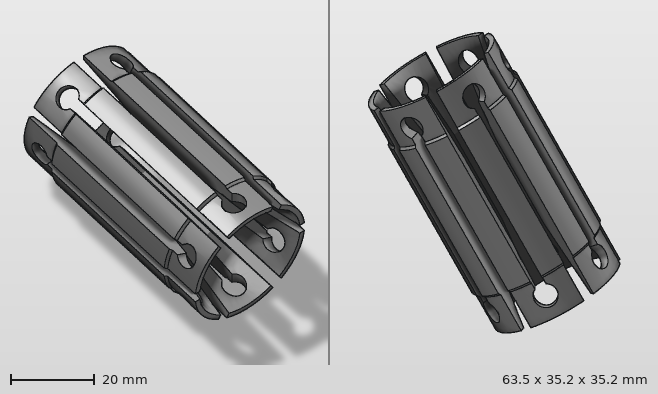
import cadquery as cq

length = 63.5
body_radius = 17.65
end_radius = 17.1
end_band = 10.3
step_length = 0.65
bore_radius = 11.5
mouth_radius = 15.7
taper_length = 19.7

slot_count = 12
slot_width = 3.0
relief_radius = 3.0
relief_inset = 5.9

clearance = 0.65

half_length = length / 2
slot_pitch = 360 / slot_count


def make_sleeve():
    """Revolve the wall section: along the outside first, then back along the bore."""
    band_edge = half_length - end_band
    body_edge = band_edge - step_length
    bore_edge = half_length - taper_length
    section = [
        (-half_length, end_radius),
        (-band_edge, end_radius),
        (-body_edge, body_radius),
        (body_edge, body_radius),
        (band_edge, end_radius),
        (half_length, end_radius),
        (half_length, mouth_radius),
        (bore_edge, bore_radius),
        (-bore_edge, bore_radius),
        (-half_length, mouth_radius),
    ]
    profile = cq.Workplane("XY").polyline(section).close()
    return profile.revolve(360, (0, 0, 0), (1, 0, 0))


def make_slot_cutter(angle, open_side):
    """Keyhole slot through one wall, open at +X (open_side 1) or -X (-1)."""
    reach = body_radius + clearance
    closed_end = -open_side * (half_length - relief_inset)
    open_end = open_side * (half_length + clearance)
    slot = cq.Workplane("XY").box(
        abs(open_end - closed_end), slot_width, reach, centered=(True, True, False)
    ).translate(((open_end + closed_end) / 2, 0, 0))
    relief = cq.Workplane("XY").center(closed_end, 0).circle(relief_radius).extrude(reach)
    return slot.union(relief).rotate((0, 0, 0), (1, 0, 0), angle)


result = make_sleeve()

for index in range(slot_count):
    side = 1 if index % 2 else -1
    result = result.cut(make_slot_cutter(index * slot_pitch, side))